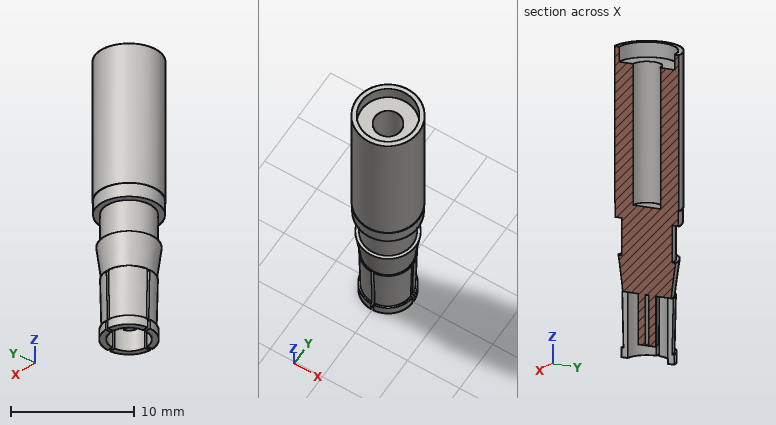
import cadquery as cq

TOTAL_LENGTH = 26.16

LIP_DIAMETER = 4.85
FINGER_TIP_DIAMETER = 4.50
FINGER_ROOT_DIAMETER = 4.72
FLARE_SMALL_DIAMETER = 4.50
FLARE_LARGE_DIAMETER = 5.33
NECK_DIAMETER = 4.72
BAND_DIAMETER = 5.85
SLEEVE_DIAMETER = 5.94

LIP_LENGTH = 0.84
FINGER_LENGTH = 4.73
FLARE_LENGTH = 3.07
NECK_LENGTH = 3.10
BAND_LENGTH = 1.27

FINGER_BOTTOM_Z = LIP_LENGTH
FLARE_BOTTOM_Z = FINGER_BOTTOM_Z + FINGER_LENGTH
NECK_BOTTOM_Z = FLARE_BOTTOM_Z + FLARE_LENGTH
BAND_BOTTOM_Z = NECK_BOTTOM_Z + NECK_LENGTH
SLEEVE_BOTTOM_Z = BAND_BOTTOM_Z + BAND_LENGTH

COUNTERBORE_DIAMETER = 5.08
COUNTERBORE_DEPTH = 1.27
COUNTERBORE_FLOOR_Z = TOTAL_LENGTH - COUNTERBORE_DEPTH
CABLE_HOLE_DIAMETER = 2.49

SOCKET_DIAMETER = 3.71
PIN_DIAMETER = 1.62
PIN_TIP_Z = 1.30
SLOT_WIDTH = 0.25


def cylinder(diameter, bottom_z, top_z):
    """Solid cylinder about the Z axis between two heights."""
    return cq.Workplane("XY").workplane(offset=bottom_z).circle(diameter / 2).extrude(top_z - bottom_z)


def make_body():
    """Revolve the stepped outer profile around the Z axis."""
    profile = [
        (0, 0),
        (LIP_DIAMETER / 2, 0),
        (LIP_DIAMETER / 2, FINGER_BOTTOM_Z),
        (FINGER_TIP_DIAMETER / 2, FINGER_BOTTOM_Z),
        (FINGER_ROOT_DIAMETER / 2, FLARE_BOTTOM_Z),
        (FLARE_SMALL_DIAMETER / 2, FLARE_BOTTOM_Z),
        (FLARE_LARGE_DIAMETER / 2, NECK_BOTTOM_Z),
        (NECK_DIAMETER / 2, NECK_BOTTOM_Z),
        (NECK_DIAMETER / 2, BAND_BOTTOM_Z),
        (BAND_DIAMETER / 2, BAND_BOTTOM_Z),
        (BAND_DIAMETER / 2, SLEEVE_BOTTOM_Z),
        (SLEEVE_DIAMETER / 2, SLEEVE_BOTTOM_Z),
        (SLEEVE_DIAMETER / 2, TOTAL_LENGTH),
        (0, TOTAL_LENGTH),
    ]
    return cq.Workplane("XZ").polyline(profile).close().revolve(360, (0, 0), (0, 1))


def cut_cable_end(body):
    """Open the cable end with a shallow counterbore and a blind hole down to the band."""
    counterbore = cylinder(COUNTERBORE_DIAMETER, COUNTERBORE_FLOOR_Z, TOTAL_LENGTH)
    cable_hole = cylinder(CABLE_HOLE_DIAMETER, SLEEVE_BOTTOM_Z, COUNTERBORE_FLOOR_Z)
    return body.cut(counterbore).cut(cable_hole)


def cut_socket(body):
    """Hollow out the contact end, leaving the ring of fingers."""
    return body.cut(cylinder(SOCKET_DIAMETER, 0, FLARE_BOTTOM_Z))


def cut_slots(body):
    """Split the ring into four fingers with two crossing slots."""
    for slot_size in ((SLOT_WIDTH, LIP_DIAMETER), (LIP_DIAMETER, SLOT_WIDTH)):
        slot = cq.Workplane("XY").rect(*slot_size).extrude(FLARE_BOTTOM_Z)
        body = body.cut(slot)
    return body


def add_pin(body):
    """Add the centre pin below the socket floor, split along X into two prongs over its full length."""
    pin = cylinder(PIN_DIAMETER, PIN_TIP_Z, FLARE_BOTTOM_Z)
    pin_slot = cq.Workplane("XY").rect(PIN_DIAMETER, SLOT_WIDTH).extrude(FLARE_BOTTOM_Z)
    return body.union(pin.cut(pin_slot))


result = add_pin(cut_slots(cut_socket(cut_cable_end(make_body()))))